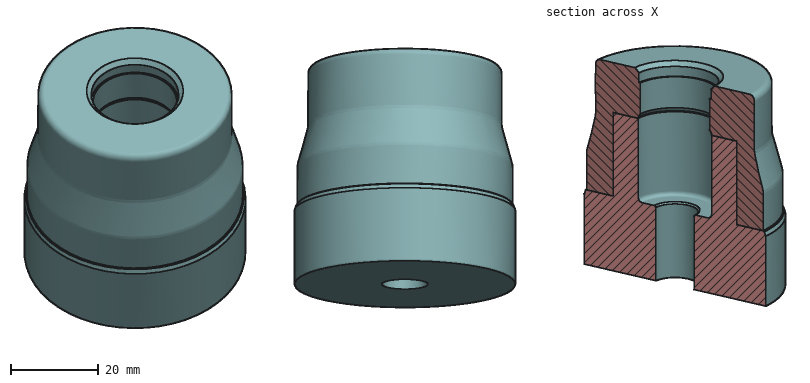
import cadquery as cq

base_radius = 25.4
shoulder_z = 18.35
bevel_inset = 0.4
bevel_height = 1.0
step_height = 0.2
foot_inset = 0.1
foot_height = 0.4
spigot_radius = 17.25
spigot_top_z = 38.65
chamber_radius = 10.15
chamber_floor_z = shoulder_z
floor_fillet = 1.0
hole_radius = 5.3
hole_chamfer = 0.4

cap_top_z = 50.8
skirt_radius = 24.75
neck_radius = 22.25
taper_bottom_z = 27.75
taper_top_z = 36.9
taper_blend = 3.05
rim_fillet = 1.5
lip_radius = 9.6
lip_ledge_z = 47.35
lip_bottom_z = 39.85
relief_height = 0.9
mouth_radius = 10.0
mouth_chamfer = 1.05

bevel_top_z = shoulder_z - step_height
chamber_top_z = lip_bottom_z - relief_height

tolerance = 0.005


def revolve_profile(points):
    """Turn a closed outline of (radius, height) points about the Z axis."""
    return cq.Workplane("XZ").polyline(points).close().revolve(360, (0, 0, 0), (0, 1, 0))


def flat_box(half_width, z):
    """Select edges that lie wholly in a thin square slab centred on the Z axis."""
    return cq.selectors.BoxSelector(
        (-half_width, -half_width, z - tolerance),
        (half_width, half_width, z + tolerance),
        boundingbox=True,
    )


def circle_at(radius, z):
    """Select the circular edge of one radius at one height."""
    return flat_box(radius + tolerance, z) - flat_box(radius - tolerance, z)


def make_base():
    """Flange with a central hole and a hollow spigot."""
    body = revolve_profile([
        (hole_radius, 0),
        (base_radius - foot_inset, 0),
        (base_radius, foot_height),
        (base_radius, bevel_top_z - bevel_height),
        (base_radius - bevel_inset, bevel_top_z),
        (skirt_radius, shoulder_z),
        (spigot_radius, shoulder_z),
        (spigot_radius, spigot_top_z),
        (chamber_radius, spigot_top_z),
        (chamber_radius, chamber_floor_z),
        (hole_radius, chamber_floor_z),
    ])
    body = body.edges(circle_at(chamber_radius, chamber_floor_z)).fillet(floor_fillet)
    return body.edges(circle_at(hole_radius, chamber_floor_z)).chamfer(hole_chamfer)


def make_cap():
    """Stepped sleeve seated on the flange and on the spigot's end."""
    body = revolve_profile([
        (spigot_radius, shoulder_z),
        (skirt_radius, shoulder_z),
        (skirt_radius, taper_bottom_z),
        (neck_radius, taper_top_z),
        (neck_radius, cap_top_z),
        (mouth_radius, cap_top_z),
        (mouth_radius, lip_ledge_z),
        (lip_radius, lip_ledge_z),
        (lip_radius, lip_bottom_z),
        (chamber_radius, chamber_top_z),
        (chamber_radius, spigot_top_z),
        (spigot_radius, spigot_top_z),
    ])
    body = body.edges(circle_at(skirt_radius, taper_bottom_z)).fillet(taper_blend)
    body = body.edges(circle_at(neck_radius, taper_top_z)).fillet(taper_blend)
    body = body.edges(circle_at(neck_radius, cap_top_z)).fillet(rim_fillet)
    return body.edges(circle_at(mouth_radius, cap_top_z)).chamfer(mouth_chamfer)


base = make_base()
cap = make_cap()

result = cq.Compound.makeCompound([base.val(), cap.val()])